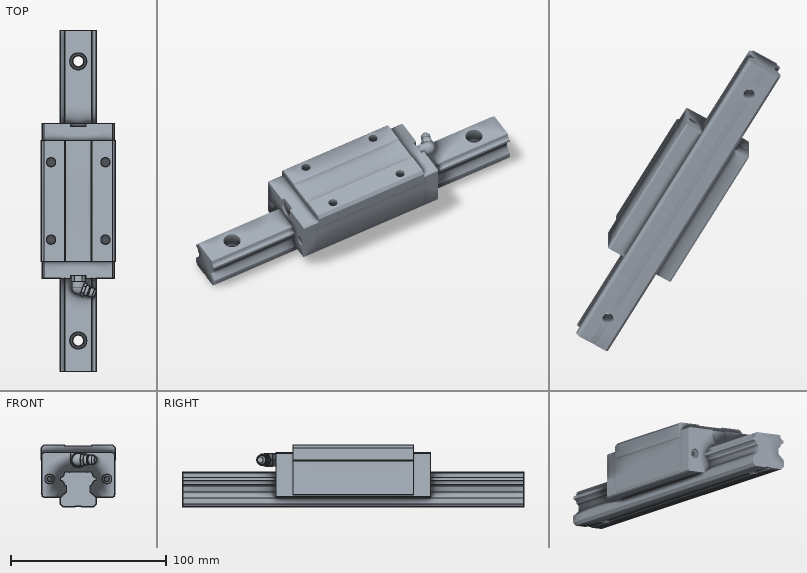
import cadquery as cq
import math


RAIL_LENGTH = 220.0
RAIL_HEIGHT = 22.5
RAIL_HALF_WIDTH = 11.7
RAIL_BASE_CHAMFER_WIDTH = 1.8
RAIL_BASE_CHAMFER_HEIGHT = 2.0
FOOT_TOP_Z = 6.0
WAIST_BOTTOM_Z = 9.7
WAIST_TOP_Z = 13.6
WAIST_HALF_WIDTH = 7.7
LOWER_RACE_HALF_WIDTH = 9.0
LOWER_RACE_BOTTOM_Z = 14.5
RIDGE_BOTTOM_Z = 17.2
RIDGE_TOP_Z = 19.0
RIDGE_HALF_WIDTH = 11.5
UPPER_RACE_HALF_WIDTH = 9.0
UPPER_RACE_TOP_Z = 21.8
HEAD_HALF_WIDTH = 8.5
RACE_SAG = 0.77
BASE_GROOVE_WIDTH = 4.0
BASE_GROOVE_DEPTH = 0.5
RAIL_HOLE_SPACING = 180.0
RAIL_HOLE_DIAMETER = 7.0
RAIL_BORE_DIAMETER = 11.0
RAIL_BORE_DEPTH = 9.0

CARRIAGE_LENGTH = 99.9
CARRIAGE_BOTTOM_Z = 6.2
BLOCK_LENGTH = 77.9
BLOCK_TOP_Z = 40.0
BLOCK_HALF_WIDTH = 24.0
BLOCK_SKIRT_HALF_WIDTH = 23.5
BLOCK_STEP_BOTTOM_Z = 29.7
BLOCK_STEP_TOP_Z = 30.4
BLOCK_TOP_CHAMFER_WIDTH = 1.8
BLOCK_TOP_CHAMFER_HEIGHT = 2.0
BLOCK_BOTTOM_CHAMFER = 1.8
CAP_TOP_Z = 35.0
CAP_HALF_WIDTH = 23.3
CAP_CHAMFER_WIDTH = 1.0
CAP_CHAMFER_HEIGHT = 0.7
TOP_GROOVE_HALF_WIDTH = 9.0
TOP_GROOVE_FLOOR_HALF_WIDTH = 8.4
TOP_GROOVE_DEPTH = 0.7
MOUNT_HOLE_SPACING_X = 35.0
MOUNT_HOLE_SPACING_Y = 50.0
MOUNT_HOLE_DIAMETER = 6.0
MOUNT_HOLE_DEPTH = 8.0
SCREW_X = 18.5
SCREW_Z = 18.0
SCREW_RECESS_DIAMETER = 6.2
SCREW_RECESS_DEPTH = 2.0
SCREW_SOCKET_DIAMETER = 3.3
SCREW_SOCKET_DEPTH = 1.3
POCKET_RADIUS = 5.0
POCKET_DEPTH = 2.0

NIPPLE_Z = 30.4
NIPPLE_RADIUS = 4.2
STEM_HEX_FLATS = 8.0
ARM_HEX_FLATS = 7.5
STEM_HEX_LENGTH = 4.0
STEM_ROUND_LENGTH = 4.0
ARM_TILT = 20.0
ARM_HEX_START = 2.6
ARM_HEX_END = 4.6
COLLAR_RADIUS = 3.3
COLLAR_END = 6.8
NECK_RADIUS = 2.6
NECK_END = 7.7
TIP_RADIUS = 3.0
TIP_TAPER_START = 10.1
TIP_END_RADIUS = 2.0
TIP_END = 11.7


def extrude_along_y(outline, length):
    """Extrudes an outline lying on the XZ plane equally to both sides of Y = 0."""
    return outline.extrude(length / 2, both=True)


def rail_profile():
    """Closed outline of the rail: the +X side from the base up, mirrored to the -X side."""
    return (
        cq.Workplane("XZ")
        .lineTo(RAIL_HALF_WIDTH - RAIL_BASE_CHAMFER_WIDTH, 0)
        .lineTo(RAIL_HALF_WIDTH, RAIL_BASE_CHAMFER_HEIGHT)
        .lineTo(RAIL_HALF_WIDTH, FOOT_TOP_Z)
        .lineTo(WAIST_HALF_WIDTH, WAIST_BOTTOM_Z)
        .lineTo(WAIST_HALF_WIDTH, WAIST_TOP_Z)
        .lineTo(LOWER_RACE_HALF_WIDTH, LOWER_RACE_BOTTOM_Z)
        .sagittaArc((RIDGE_HALF_WIDTH, RIDGE_BOTTOM_Z), RACE_SAG)
        .lineTo(RIDGE_HALF_WIDTH, RIDGE_TOP_Z)
        .sagittaArc((UPPER_RACE_HALF_WIDTH, UPPER_RACE_TOP_Z), RACE_SAG)
        .lineTo(HEAD_HALF_WIDTH, RAIL_HEIGHT)
        .lineTo(0, RAIL_HEIGHT)
        .mirrorY()
    )


def make_rail():
    rail = extrude_along_y(rail_profile(), RAIL_LENGTH)
    base_groove = cq.Workplane("XY").box(BASE_GROOVE_WIDTH, RAIL_LENGTH, 2 * BASE_GROOVE_DEPTH)
    return (
        rail.cut(base_groove)
        .faces(">Z")
        .workplane(origin=(0, 0, RAIL_HEIGHT))
        .rarray(2.2, RAIL_HOLE_SPACING, 1, 2)
        .cboreHole(RAIL_HOLE_DIAMETER, RAIL_BORE_DIAMETER, RAIL_BORE_DEPTH)
    )


def block_profile():
    return (
        cq.Workplane("XZ")
        .moveTo(0, CARRIAGE_BOTTOM_Z)
        .lineTo(BLOCK_SKIRT_HALF_WIDTH - BLOCK_BOTTOM_CHAMFER, CARRIAGE_BOTTOM_Z)
        .lineTo(BLOCK_SKIRT_HALF_WIDTH, CARRIAGE_BOTTOM_Z + BLOCK_BOTTOM_CHAMFER)
        .lineTo(BLOCK_SKIRT_HALF_WIDTH, BLOCK_STEP_BOTTOM_Z)
        .lineTo(BLOCK_HALF_WIDTH, BLOCK_STEP_TOP_Z)
        .lineTo(BLOCK_HALF_WIDTH, BLOCK_TOP_Z - BLOCK_TOP_CHAMFER_HEIGHT)
        .lineTo(BLOCK_HALF_WIDTH - BLOCK_TOP_CHAMFER_WIDTH, BLOCK_TOP_Z)
        .lineTo(TOP_GROOVE_HALF_WIDTH, BLOCK_TOP_Z)
        .lineTo(TOP_GROOVE_FLOOR_HALF_WIDTH, BLOCK_TOP_Z - TOP_GROOVE_DEPTH)
        .lineTo(0, BLOCK_TOP_Z - TOP_GROOVE_DEPTH)
        .mirrorY()
    )


def end_caps():
    """A bar as long as the carriage, whose two ends show beyond the block as the end caps."""
    flat_half_width = CAP_HALF_WIDTH - CAP_CHAMFER_WIDTH
    return extrude_along_y(
        cq.Workplane("XZ")
        .moveTo(0, CARRIAGE_BOTTOM_Z)
        .lineTo(flat_half_width, CARRIAGE_BOTTOM_Z)
        .lineTo(CAP_HALF_WIDTH, CARRIAGE_BOTTOM_Z + CAP_CHAMFER_HEIGHT)
        .lineTo(CAP_HALF_WIDTH, CAP_TOP_Z - CAP_CHAMFER_HEIGHT)
        .lineTo(flat_half_width, CAP_TOP_Z)
        .lineTo(0, CAP_TOP_Z)
        .mirrorY(),
        CARRIAGE_LENGTH,
    )


def cap_face():
    """Plane on the front cap's outer face, with its normal pointing out along -Y."""
    return cq.Workplane("XZ", origin=(0, -CARRIAGE_LENGTH / 2, 0))


def screw_recesses():
    """Round recess at each cap screw, with the screw's socket in its floor."""
    centres = [(-SCREW_X, SCREW_Z), (SCREW_X, SCREW_Z)]
    recesses = cap_face().pushPoints(centres).circle(SCREW_RECESS_DIAMETER / 2).extrude(-SCREW_RECESS_DEPTH)
    sockets = (
        cap_face()
        .pushPoints(centres)
        .circle(SCREW_SOCKET_DIAMETER / 2)
        .extrude(-SCREW_RECESS_DEPTH - SCREW_SOCKET_DEPTH)
    )
    return recesses.union(sockets)


def nipple_pocket():
    """U-shaped pocket, open at the top of the cap."""
    return (
        cap_face()
        .moveTo(-POCKET_RADIUS, CAP_TOP_Z)
        .lineTo(-POCKET_RADIUS, NIPPLE_Z)
        .threePointArc((0, NIPPLE_Z - POCKET_RADIUS), (POCKET_RADIUS, NIPPLE_Z))
        .lineTo(POCKET_RADIUS, CAP_TOP_Z)
        .close()
        .extrude(-POCKET_DEPTH)
    )


def make_carriage():
    carriage = extrude_along_y(block_profile(), BLOCK_LENGTH).union(end_caps())
    carriage = carriage.cut(extrude_along_y(rail_profile(), RAIL_LENGTH))
    for cap_recess in (screw_recesses(), nipple_pocket()):
        carriage = carriage.cut(cap_recess).cut(cap_recess.mirror("XZ"))
    mount_holes = (
        cq.Workplane("XY", origin=(0, 0, BLOCK_TOP_Z))
        .rarray(MOUNT_HOLE_SPACING_X, MOUNT_HOLE_SPACING_Y, 2, 2)
        .circle(MOUNT_HOLE_DIAMETER / 2)
        .extrude(-MOUNT_HOLE_DEPTH)
    )
    return carriage.cut(mount_holes)


def across_corners(across_flats):
    """Diameter of the circle through the corners of a hexagon."""
    return across_flats / math.cos(math.radians(30))


def make_nipple():
    pocket_floor_y = -CARRIAGE_LENGTH / 2 + POCKET_DEPTH
    elbow_y = pocket_floor_y - STEM_HEX_LENGTH - STEM_ROUND_LENGTH
    elbow = cq.Vector(0, elbow_y, NIPPLE_Z)

    stem = (
        cq.Workplane("XZ", origin=(0, pocket_floor_y, NIPPLE_Z))
        .polygon(6, across_corners(STEM_HEX_FLATS))
        .extrude(STEM_HEX_LENGTH)
        .faces("<Y")
        .workplane()
        .circle(NIPPLE_RADIUS)
        .extrude(STEM_ROUND_LENGTH)
    )
    ball = cq.Workplane("XY", origin=elbow.toTuple()).sphere(NIPPLE_RADIUS)

    arm_hex = (
        cq.Workplane("YZ", origin=(ARM_HEX_START, 0, 0))
        .polygon(6, across_corners(ARM_HEX_FLATS))
        .extrude(ARM_HEX_END - ARM_HEX_START)
    )
    arm_turned = (
        cq.Workplane("XY")
        .lineTo(0, -NECK_RADIUS)
        .lineTo(ARM_HEX_END, -NECK_RADIUS)
        .lineTo(ARM_HEX_END, -COLLAR_RADIUS)
        .lineTo(COLLAR_END, -COLLAR_RADIUS)
        .lineTo(COLLAR_END, -NECK_RADIUS)
        .lineTo(NECK_END, -NECK_RADIUS)
        .lineTo(NECK_END, -TIP_RADIUS)
        .lineTo(TIP_TAPER_START, -TIP_RADIUS)
        .lineTo(TIP_END, -TIP_END_RADIUS)
        .lineTo(TIP_END, 0)
        .close()
        .revolve(360, (0, 0, 0), (1, 0, 0))
    )
    arm = arm_hex.union(arm_turned).rotate((0, 0, 0), (0, 0, 1), -ARM_TILT).translate(elbow)
    return stem.union(ball).union(arm)


rail = make_rail().solids()
carriage = make_carriage().solids()
nipple = make_nipple().solids()

result = cq.Compound.makeCompound([rail.val(), carriage.val(), nipple.val()])